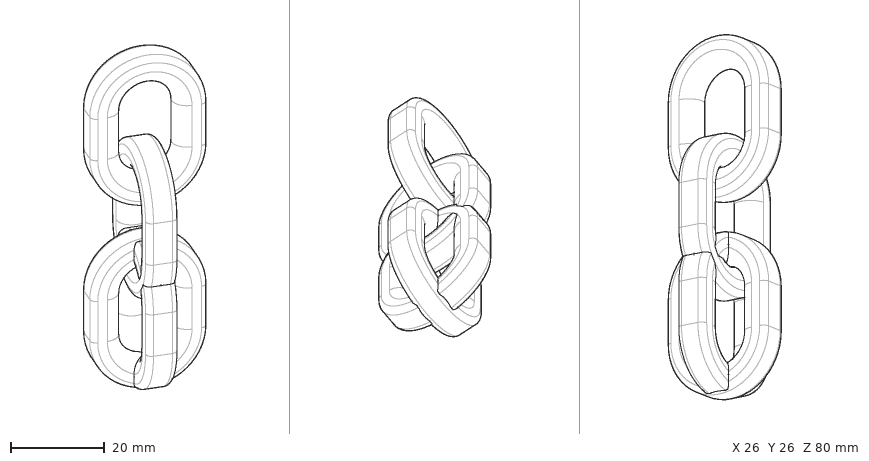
import cadquery as cq

chain_length = 80.0
link_length = 36.0
link_width = 26.0
hole_width = 12.0
outer_round = 1.4

bar = (link_width - hole_width) / 2
inner_round = bar / 2
straight_length = link_length - link_width
pitch = (chain_length - link_length) / 2
bar_centre_height = (link_length - bar) / 2


def bar_section():
    """Section of the bar on the +X side: half-round inside, flat outside with rounded edges."""
    inner_x = hole_width / 2
    flat_start_x = inner_x + inner_round
    flat_end_x = link_width / 2 - outer_round
    return (
        cq.Workplane("XY")
        .moveTo(flat_start_x, -bar / 2)
        .lineTo(flat_end_x, -bar / 2)
        .tangentArcPoint((outer_round, outer_round))
        .lineTo(link_width / 2, bar / 2 - outer_round)
        .tangentArcPoint((-outer_round, outer_round))
        .lineTo(flat_start_x, bar / 2)
        .threePointArc((inner_x, 0), (flat_start_x, -bar / 2))
        .close()
    )


def make_link(centre_z, turned=False):
    """Complete oval link lying in the XZ plane, or in the YZ plane when turned."""
    side = bar_section().extrude(straight_length / 2, both=True)
    lower_end = bar_section().revolve(180, (0, 0), (0, 1)).translate((0, 0, -straight_length / 2))
    link = (
        side.union(side.mirror("YZ"))
        .union(lower_end)
        .union(lower_end.mirror("XY"))
    )
    if turned:
        link = link.rotate((0, 0, 0), (0, 0, 1), 90)
    return link.translate((0, 0, centre_z)).solids()


top_link = make_link(pitch, turned=True)
middle_link = make_link(0)
lower_link = make_link(-pitch, turned=True)
crossing_link = make_link(-pitch)

front_half = cq.Workplane("XY").box(link_width, bar, chain_length).translate((0, -bar / 2, 0))
back_half = front_half.mirror("XZ")
uncut_middle_link = middle_link
middle_link = middle_link.cut(crossing_link.intersect(back_half)).solids()
crossing_link = crossing_link.cut(uncut_middle_link.intersect(front_half))

inner_zone = (
    cq.Workplane("XY")
    .box(link_width, link_width, 2 * bar_centre_height)
    .translate((0, 0, -pitch))
)
clearing = (
    cq.Workplane("XY")
    .box(bar - outer_round, link_width, link_length)
    .translate((0, 0, -pitch))
    .cut(inner_zone)
)
uncut_lower_link = lower_link
lower_link = lower_link.cut(crossing_link.intersect(inner_zone)).solids()
crossing_link = crossing_link.cut(clearing).cut(uncut_lower_link.cut(inner_zone)).solids()

links = [top_link, middle_link, lower_link, crossing_link]
result = cq.Compound.makeCompound([link.val() for link in links])